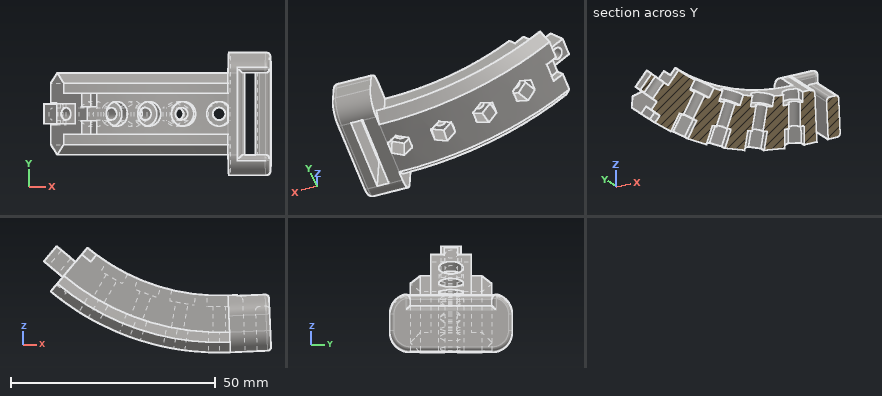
import cadquery as cq

outer_radius = 63.95
rail_thickness = 14.0
inner_radius = outer_radius - rail_thickness
rail_angle = 40.0
head_angle = 2.5
axis_x = 42.75
half_flange = 10.0
half_web = 5.0
flange_thickness = 5.0
flange_bevel = flange_thickness / 2

hole_count = 4
hole_pitch_angle = 10.0
hole_diameter = 3.0
counterbore_diameter = 6.0
counterbore_depth = 2.6
nut_corner_width = 6.15
nut_pocket_depth = 5.0

tang_side = 4.9
tang_length = 6.0
catch_width = 5.2
catch_depth = 2.15
catch_length = 3.05
top_notch_depth = 2.15
top_notch_length = 2.85
notch_rib_width = 3.4

head_length = 10.0
half_head = 15.0
head_corner_radius = 5.0
edge_radius = 1.0
slot_half = half_flange
bar_length = 3.5
slot_length = head_length - 2 * bar_length
bar_drop = 3.0
relief_depth = 0.2

clearance = 2.8
tiny = 0.005


def box(x_min, x_max, y_min, y_max, z_min, z_max):
    """Axis-parallel box between the given limits."""
    size = (x_max - x_min, y_max - y_min, z_max - z_min)
    return cq.Workplane("XY").box(*size, centered=False).translate((x_min, y_min, z_min))


def turn(shape, angle):
    """Move a shape around the bend axis, from the lowest point towards the free end."""
    return shape.rotate((0, 0, 0), (0, 1, 0), angle)


def make_rail():
    half_section = [
        (half_flange - flange_bevel, -outer_radius),
        (half_flange, -outer_radius + flange_bevel),
        (half_flange - flange_bevel, -outer_radius + flange_thickness),
        (half_web, -outer_radius + flange_thickness),
        (half_web, -inner_radius),
    ]
    mirrored = [(-y, z) for y, z in reversed(half_section)]
    section = cq.Workplane("YZ").polyline(half_section + mirrored).close()
    sweep = section.revolve(rail_angle + head_angle, (0, 0, 0), (1, 0, 0))
    return turn(sweep, -head_angle)


def make_screw_cutter():
    """Through hole with a counterbore from the top and a nut pocket from below."""
    counterbore_floor = -inner_radius - counterbore_depth
    pocket_roof = -outer_radius + nut_pocket_depth
    hole_bottom = -outer_radius - clearance
    counterbore = (
        cq.Workplane("XY", origin=(0, 0, counterbore_floor))
        .circle(counterbore_diameter / 2)
        .extrude(counterbore_depth + clearance)
    )
    hole = (
        cq.Workplane("XY", origin=(0, 0, hole_bottom))
        .circle(hole_diameter / 2)
        .extrude(rail_thickness + clearance)
    )
    pocket = (
        cq.Workplane("XY", origin=(0, 0, pocket_roof))
        .transformed(rotate=(0, 0, 90))
        .polygon(6, nut_corner_width)
        .extrude(-nut_pocket_depth - clearance)
    )
    return counterbore.union(hole).union(pocket)


def make_tang():
    """Square tang with a cross hole; its rear face lies on the rail's end face."""
    middle = -(outer_radius + inner_radius) / 2
    half = tang_side / 2
    tang = box(-tang_length, 0, -half, half, middle - half, middle + half)
    hole = (
        cq.Workplane("XY", origin=(-tang_length / 2, 0, middle - tang_side))
        .circle(hole_diameter / 2)
        .extrude(2 * tang_side)
    )
    return tang.cut(hole)


def make_end_notches():
    half_catch = catch_width / 2
    notches = box(
        -clearance, catch_length, -half_catch, half_catch,
        -outer_radius - clearance, -outer_radius + catch_depth,
    )
    rib_side = notch_rib_width / 2
    web_side = half_web + clearance
    for y_min, y_max in ((-web_side, -rib_side), (rib_side, web_side)):
        notches = notches.union(box(
            -clearance, top_notch_length, y_min, y_max,
            -inner_radius - top_notch_depth, -inner_radius + clearance,
        ))
    return notches


def make_head():
    """Strap head with its front face on x = 0, placed radially like the rail."""
    top = -inner_radius
    bottom = -outer_radius
    slot_start = bar_length
    slot_end = slot_start + slot_length
    relief_top = top - relief_depth
    bar_top = top - bar_drop

    head = box(0, head_length, -half_head, half_head, bottom, top)
    head = head.edges("|X").fillet(head_corner_radius)

    relief = box(
        slot_start - edge_radius - relief_depth, head_length + clearance,
        -half_head, half_head, relief_top, top + clearance,
    )
    slot = box(slot_start, slot_end, -slot_half, slot_half, bottom - clearance, top + clearance)
    over_bar = box(slot_start, head_length + clearance, -slot_half, slot_half, bar_top, top + clearance)
    head = head.cut(relief).cut(slot).cut(over_bar)

    slot_rim = cq.selectors.BoxSelector(
        (slot_start - tiny, -slot_half - tiny, relief_top - tiny),
        (head_length + tiny, slot_half + tiny, relief_top + tiny),
        boundingbox=True,
    )
    bar_edge = cq.selectors.BoxSelector(
        (slot_end - tiny, -slot_half - tiny, bar_top - tiny),
        (slot_end + tiny, slot_half + tiny, bar_top + tiny),
        boundingbox=True,
    )
    head = head.edges(slot_rim).fillet(edge_radius)
    head = head.edges(bar_edge).fillet(edge_radius)
    return head.faces(">X").edges().fillet(edge_radius)


rail = make_rail()
screw_cutter = make_screw_cutter()
for index in range(hole_count):
    rail = rail.cut(turn(screw_cutter, index * hole_pitch_angle))
rail = rail.cut(turn(make_end_notches(), rail_angle))

part = rail.union(turn(make_tang(), rail_angle)).union(turn(make_head(), -head_angle))
result = part.translate((axis_x, 0, outer_radius))